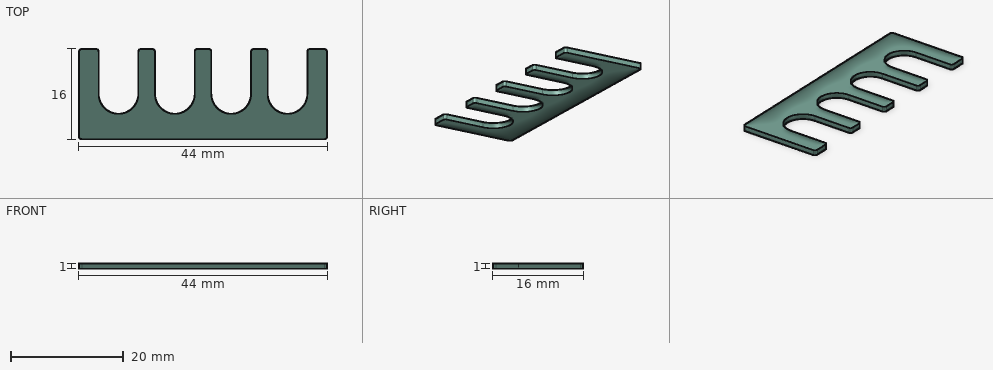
import cadquery as cq

length = 44.0
width = 16.0
thickness = 1.0
corner_radius = 0.5

slot_count = 4
slot_pitch = 10.0
slot_width = 7.0
slot_depth = 11.5


def make_slot(center_x):
    """Slot cutter that enters from the +Y edge and ends in a half circle."""
    radius = slot_width / 2
    open_end = width / 2
    arc_center_y = open_end - slot_depth + radius
    return (
        cq.Workplane("XY")
        .moveTo(center_x - radius, open_end)
        .lineTo(center_x - radius, arc_center_y)
        .threePointArc((center_x, arc_center_y - radius), (center_x + radius, arc_center_y))
        .lineTo(center_x + radius, open_end)
        .close()
        .extrude(thickness)
    )


comb = cq.Workplane("XY").box(length, width, thickness, centered=(True, True, False))
for index in range(slot_count):
    slot_x = (index - (slot_count - 1) / 2) * slot_pitch
    comb = comb.cut(make_slot(slot_x))

tip_edges = comb.faces(">Y").edges("|Z")
base_edges = comb.faces("<Y").edges("|Z")
result = comb.newObject(tip_edges.vals() + base_edges.vals()).fillet(corner_radius)